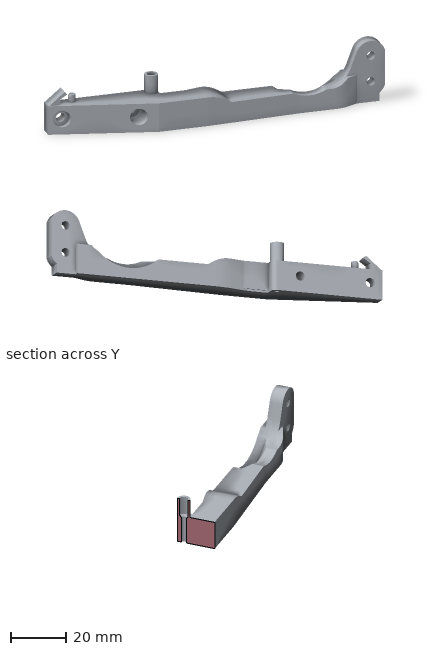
import cadquery as cq
import math


length = 126.5
width = 14.7
thickness = 11.0
waist_height = 8.0
end_width = 4.9
taper_end_y = 39.0
full_width_end_y = 57.7
waist_width_y = 93.0
waist_right_x = 12.9
nose_radius = 11.3
nose_angle = math.radians(25)
nose_start_y = 107.0
beam_end_y = 117.3
beam_left_x = 3.0
bend_start_y = 63.4
bend_end_y = 57.3
recess_start_y = 52.0
recess_x = 4.9
block_end_y = 42.5
shoulder_radius = 1.8

undercut_height = 0.8
undercut_end_y = 50.1

ramp_start_y = full_width_end_y
ramp_end_y = 67.2
ramp_foot_radius = 2.5

tab_x = recess_x
tab_width = 5.0
tab_hole_y = 121.0
tab_hole_z = (17.8, 7.8)
tab_radius = 5.7
tab_hole_diameter = 3.2
tab_foot_y = 124.5
tab_flank_angle = math.radians(69)
saddle_start_y = 105.0

relief_y = 96.9
relief_z = 20.6
relief_large_radius = 16.8
relief_small_radius = 14.2
relief_cone_start_x = 6.3
relief_cone_end_x = 8.6

cross_hole_ys = (4.8, 31.9)
cross_hole_z = 6.0
cross_hole_diameter = 3.4
counterbore_diameter = 6.3
counterbore_floor_x = 4.4

post_x = 2.5
post_y = 40.0
post_diameter = 5.0
post_top_z = 18.0
post_bore_diameter = 3.2
post_bore_floor_z = thickness
post_hole_diameter = 1.6

pin_x = post_x
pin_y = 9.7
pin_diameter = 2.7
pin_top_z = 13.8
pin_bevel = 0.9

hook_foot_y = 0.4
hook_inner_y = 4.7
hook_tip_y = 6.3
hook_angle = math.radians(39)
hook_lip = 1.4
hook_inner_z = 13.2

overcut = 1.3


def arc_point(center, radius, angle):
    """Point on a circle at an angle measured from the first axis."""
    return (center[0] + radius * math.cos(angle), center[1] + radius * math.sin(angle))


def side_plane(x):
    """YZ sketch plane at the given X, with its normal along +X."""
    return cq.Workplane("YZ", origin=(x, 0, 0))


def make_beam():
    run = (bend_start_y - bend_end_y) / 2 + bend_end_y - recess_start_y
    slope = (recess_x - beam_left_x) / run
    bend_end_x = recess_x - slope * (bend_end_y - recess_start_y)

    nose_center = (waist_right_x - nose_radius, nose_start_y)
    nose_end_x = tab_x + tab_width
    nose_arc_end = arc_point(nose_center, nose_radius, nose_angle)
    nose_end_y = nose_arc_end[1] + (nose_arc_end[0] - nose_end_x) / math.tan(nose_angle)

    beam = (
        cq.Workplane("XY")
        .moveTo(0, 0)
        .lineTo(end_width, 0)
        .lineTo(width, taper_end_y)
        .lineTo(width, full_width_end_y)
        .lineTo(waist_right_x, waist_width_y)
        .lineTo(waist_right_x, nose_start_y)
        .threePointArc(
            arc_point(nose_center, nose_radius, nose_angle / 2),
            nose_arc_end,
        )
        .lineTo(nose_end_x, nose_end_y)
        .lineTo(nose_end_x, beam_end_y)
        .lineTo(beam_left_x, beam_end_y)
        .lineTo(beam_left_x, bend_start_y)
        .tangentArcPoint((bend_end_x, bend_end_y), relative=False)
        .lineTo(recess_x, recess_start_y)
        .lineTo(recess_x, block_end_y)
        .lineTo(shoulder_radius, block_end_y)
        .tangentArcPoint((0, block_end_y - shoulder_radius), relative=False)
        .close()
        .extrude(thickness)
    )

    undercut_x = recess_x + slope * (recess_start_y - undercut_end_y)
    undercut = (
        cq.Workplane("XY")
        .polyline([
            (recess_x, block_end_y),
            (undercut_x, block_end_y),
            (undercut_x, undercut_end_y),
            (recess_x, recess_start_y),
        ])
        .close()
        .extrude(undercut_height)
    )
    return beam.cut(undercut)


tab_top_center = (tab_hole_y, tab_hole_z[0])
flank_top = arc_point(tab_top_center, tab_radius, tab_flank_angle + math.pi / 2)
flank_waist_y = flank_top[0] - (flank_top[1] - waist_height) / math.tan(tab_flank_angle)
saddle_radius = (flank_waist_y - saddle_start_y) / math.tan(tab_flank_angle / 2)
saddle_center = (saddle_start_y, waist_height + saddle_radius)
saddle_middle = arc_point(saddle_center, saddle_radius, tab_flank_angle / 2 - math.pi / 2)
saddle_end = arc_point(saddle_center, saddle_radius, tab_flank_angle - math.pi / 2)


def make_waist_cutter():
    ramp_run = ramp_end_y - ramp_start_y
    ramp_drop = thickness - waist_height
    radius_sum = (ramp_run**2 + ramp_drop**2) / (2 * ramp_drop)
    ramp_top_radius = radius_sum - ramp_foot_radius
    ramp_angle = math.asin(ramp_run / radius_sum)
    foot_center = (ramp_end_y, waist_height + ramp_foot_radius)
    top_center = (ramp_start_y, thickness - ramp_top_radius)
    return (
        side_plane(-overcut)
        .moveTo(ramp_start_y, thickness)
        .threePointArc(
            arc_point(top_center, ramp_top_radius, math.pi / 2 - ramp_angle / 2),
            arc_point(top_center, ramp_top_radius, math.pi / 2 - ramp_angle),
        )
        .threePointArc(
            arc_point(foot_center, ramp_foot_radius, -math.pi / 2 - ramp_angle / 2),
            (ramp_end_y, waist_height),
        )
        .lineTo(saddle_start_y, waist_height)
        .threePointArc(saddle_middle, saddle_end)
        .lineTo(ramp_start_y, saddle_end[1])
        .close()
        .extrude(width + 2 * overcut)
    )


def make_tab():
    lower_center = (tab_hole_y, tab_hole_z[1])
    edge_angle = math.acos((length - tab_hole_y) / tab_radius)
    foot_angle = math.acos((tab_foot_y - tab_hole_y) / tab_radius)
    tab = (
        side_plane(tab_x)
        .moveTo(saddle_start_y, 0)
        .lineTo(tab_foot_y, 0)
        .lineTo(*arc_point(lower_center, tab_radius, -foot_angle))
        .threePointArc(
            arc_point(lower_center, tab_radius, -(foot_angle + edge_angle) / 2),
            arc_point(lower_center, tab_radius, -edge_angle),
        )
        .lineTo(*arc_point(tab_top_center, tab_radius, edge_angle))
        .threePointArc((tab_hole_y, tab_hole_z[0] + tab_radius), flank_top)
        .lineTo(*saddle_end)
        .threePointArc(saddle_middle, (saddle_start_y, waist_height))
        .close()
        .extrude(tab_width)
    )
    holes = (
        side_plane(tab_x)
        .pushPoints([(tab_hole_y, z) for z in tab_hole_z])
        .circle(tab_hole_diameter / 2)
        .extrude(tab_width)
    )
    return tab.cut(holes)


def make_relief_cutter():
    return (
        cq.Workplane("XY", origin=(0, relief_y, relief_z))
        .polyline([
            (0, 0),
            (0, relief_large_radius),
            (relief_cone_start_x, relief_large_radius),
            (relief_cone_end_x, relief_small_radius),
            (width, relief_small_radius),
            (width, 0),
        ])
        .close()
        .revolve(360, (0, 0, 0), (1, 0, 0))
    )


def make_cross_holes():
    centers = [(y, cross_hole_z) for y in cross_hole_ys]
    holes = side_plane(0).pushPoints(centers).circle(cross_hole_diameter / 2).extrude(width)
    counterbores = (
        side_plane(counterbore_floor_x)
        .pushPoints(centers)
        .circle(counterbore_diameter / 2)
        .extrude(width - counterbore_floor_x)
    )
    return holes.union(counterbores)


def make_post():
    return (
        cq.Workplane("XY", origin=(post_x, post_y, thickness))
        .circle(post_diameter / 2)
        .extrude(post_top_z - thickness)
    )


def make_post_bore():
    bore_radius = post_bore_diameter / 2
    hole_radius = post_hole_diameter / 2
    return (
        cq.Workplane("XZ", origin=(post_x, post_y, 0))
        .polyline([
            (0, 0),
            (hole_radius, 0),
            (hole_radius, post_bore_floor_z - (bore_radius - hole_radius)),
            (bore_radius, post_bore_floor_z),
            (bore_radius, post_top_z),
            (0, post_top_z),
        ])
        .close()
        .revolve(360, (0, 0, 0), (0, 1, 0))
    )


def make_pin():
    pin = (
        cq.Workplane("XY", origin=(pin_x, pin_y, thickness))
        .circle(pin_diameter / 2)
        .extrude(pin_top_z - thickness)
    )
    front_y = pin_y - pin_diameter / 2
    bevel = (
        side_plane(pin_x - pin_diameter)
        .polyline([
            (front_y, pin_top_z - pin_bevel),
            (front_y, pin_top_z),
            (front_y + pin_bevel, pin_top_z),
        ])
        .close()
        .extrude(2 * pin_diameter)
    )
    return pin.cut(bevel)


def make_hook():
    rise = math.tan(hook_angle)
    tip_z = thickness + rise * (hook_tip_y - hook_foot_y)
    lip_y = hook_tip_y + hook_lip * math.sin(hook_angle)
    lip_z = tip_z - hook_lip * math.cos(hook_angle)
    return (
        side_plane(0)
        .polyline([
            (hook_foot_y, thickness),
            (hook_tip_y, tip_z),
            (lip_y, lip_z),
            (hook_inner_y, hook_inner_z),
            (hook_inner_y, thickness),
        ])
        .close()
        .extrude(end_width)
    )


body = make_beam().cut(make_waist_cutter()).union(make_tab()).cut(make_relief_cutter())
body = body.union(make_post()).union(make_pin()).union(make_hook())
result = body.cut(make_cross_holes()).cut(make_post_bore())